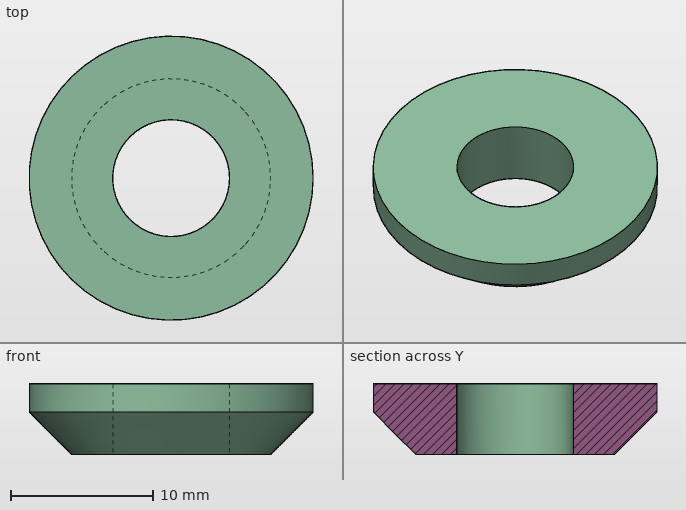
import cadquery as cq

outer_diameter = 20.0
hole_diameter = 8.2
total_height = 5.0
rim_height = 2.0

cone_height = total_height - rim_height
outer_radius = outer_diameter / 2
base_radius = outer_radius - cone_height
hole_radius = hole_diameter / 2

half_section = (
    cq.Workplane("XZ")
    .moveTo(hole_radius, 0)
    .lineTo(base_radius, 0)
    .lineTo(outer_radius, cone_height)
    .lineTo(outer_radius, total_height)
    .lineTo(hole_radius, total_height)
    .close()
)

result = half_section.revolve(360, (0, 0, 0), (0, 1, 0))